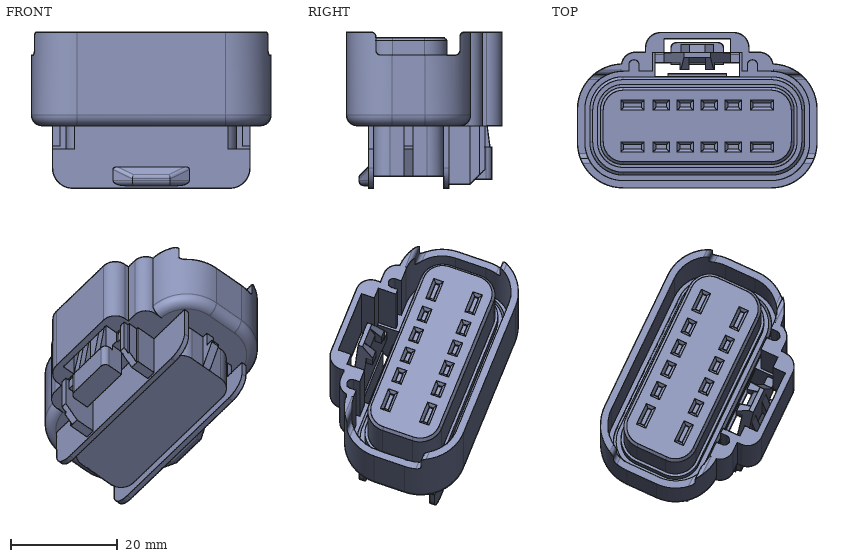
import cadquery as cq


shell_length = 44.95
shell_depth = 23.3
shell_height = 17.58
shell_corner = 8.6
shell_bottom_round = 2.02
wall = 1.4
floor = 2.02

notch_front = -6.1
notch_back = 9.6
notch_bottom = 13.25
notch_round = 0.9

housing_half_width = 9.7
housing_back = 17.55
housing_round = 2.88
ear_half_width = 14.25
ear_back = 13.85
ear_round = 2.7
key_slot_width = 1.9
key_slot_back = 12.4
slot_round_share = 0.99
key_slot_places = [-11.85, 10.35]

pocket_half_width = 8.35
pocket_back = 13.75
deep_pocket_half_width = 6.2
deep_pocket_back = 16.3
floor_opening_half_width = 7.9
floor_opening_front = 9.25
floor_lip_half_width = 5.5
floor_lip_back = 9.8
floor_lip_height = 0.9

plug_length = 36.3
plug_depth = 14.47
plug_corner = 4.25
plug_top = 16.55
plug_chamfer = 0.55
collar_margin = 0.55
collar_top = 6.3
seal_margin = 2.0
seal_top = 4.05
seal_chamfer = 0.55

row_offset = 3.9
narrow_places = [-6.75, -2.25, 2.25, 6.75]
wide_places = [-12.15, 12.15]
narrow_mouth = 3.0
wide_mouth = 4.35
mouth_height = 1.9
lead_in = 0.55
terminal_depth = 1.0

core_half_width = 15.95
core_round = 3.05
core_bottom = -9.5
plate_half_width = 18.5
plate_outer_face = 7.55
plate_thickness = 1.0
core_depth = 2 * (plate_outer_face - plate_thickness)
plate_bottom = -11.75
plate_round = 3.8
plate_notch_start = 14.4
plate_notch_bottom = -4.3

catch_width = 1.6
catch_rib_face = 17.1
catch_shelf = -3.78
catch_tip = -4.3

front_catch_half_width = 7.15
front_catch_nose_half_width = 3.55
front_catch_reach = 1.75
front_catch_top = -7.7
front_catch_bottom = -11.25
front_catch_round = 1.0

wing_bottom = -10.95
wing_back = 14.3
wing_chamfer = 2.8
wing_steps = [(11.55, 1.8), (13.3, 1.45), (wing_back, 1.1)]

lever_front = 11.8
lever_back = 13.75
lever_top = 14.05
lever_tip_half_width = 2.45
lever_tip_front = 12.85
lever_tip_slope_height = 2.25
lever_tail_half_width = 4.95
lever_tail_front = 11.5
lever_tail_bottom = -10.02
hinge_height = 2.7
hinge_back = 13.5
hook_front = 10.55
hook_height = 4.95
hook_inner = 1.55
hook_outer = 3.25
press_pad_back = 15.65
press_pad_top = -4.0
press_pad_round = 1.1
rib_inner = 1.45
rib_outer = 3.05
rib_base_back = 15.3
rib_top = 7.65
ramp_top = -1.35

overlap = 0.45


def box(x0, x1, y0, y1, z0, z1):
    return cq.Workplane("XY").box(x1 - x0, y1 - y0, z1 - z0, centered=False).translate((x0, y0, z0))


def centred_box(half_width, y0, y1, z0, z1):
    return box(-half_width, half_width, y0, y1, z0, z1)


def rounded_block(length, depth, corner, z0, z1):
    block = cq.Workplane("XY").workplane(offset=z0).rect(length, depth).extrude(z1 - z0)
    return block.edges("|Z").fillet(corner)


def profile_along_x(points, x0, x1):
    """Extrude a closed outline of (Y, Z) points from x0 to x1."""
    return cq.Workplane("YZ").workplane(offset=x0).polyline(points).close().extrude(x1 - x0)


def profile_along_y(points, y0, y1):
    """Extrude a closed outline of (X, Z) points from y0 to y1."""
    return cq.Workplane("XZ").workplane(offset=-y0).polyline(points).close().extrude(y0 - y1)


def both_sides(body):
    return body.union(body.mirror("YZ"))


def make_shell():
    shell = rounded_block(shell_length, shell_depth, shell_corner, 0, shell_height)
    shell = shell.faces("<Z").edges().fillet(shell_bottom_round)
    ears = centred_box(ear_half_width, 0, ear_back, 0, shell_height)
    ears = ears.edges("|Z and >Y").fillet(ear_round)
    housing = centred_box(housing_half_width, 0, housing_back, 0, shell_height)
    housing = housing.edges("|Z and >Y").fillet(housing_round)
    shell = shell.union(ears).union(housing)

    cavity = rounded_block(
        shell_length - 2 * wall, shell_depth - 2 * wall, shell_corner - wall, floor, shell_height
    )
    shell = shell.cut(cavity)
    shell = shell.cut(centred_box(pocket_half_width, 0, pocket_back, floor, shell_height))
    shell = shell.cut(centred_box(deep_pocket_half_width, pocket_back, deep_pocket_back, 0, shell_height))
    shell = shell.cut(
        centred_box(floor_opening_half_width, floor_opening_front, pocket_back, 0, floor)
    )
    lip = centred_box(
        floor_lip_half_width, floor_opening_front - overlap, floor_lip_back, 0, floor_lip_height
    )
    return shell.union(lip)


def cut_key_slots(shell):
    slot_radius = key_slot_width / 2
    for place in key_slot_places:
        slot = box(place - slot_radius, place + slot_radius, 0, key_slot_back, floor, shell_height)
        shell = shell.cut(slot.edges("|Z and >Y").fillet(slot_radius * slot_round_share))
    return shell


def cut_side_notches(shell):
    r = notch_round
    arc_mid = r * (1 - 0.5 ** 0.5)
    top = shell_height
    profile = (
        cq.Workplane("YZ")
        .workplane(offset=ear_half_width)
        .moveTo(notch_front - r, top)
        .threePointArc((notch_front - arc_mid, top - arc_mid), (notch_front, top - r))
        .lineTo(notch_front, notch_bottom + r)
        .threePointArc((notch_front + arc_mid, notch_bottom + arc_mid), (notch_front + r, notch_bottom))
        .lineTo(notch_back - r, notch_bottom)
        .threePointArc((notch_back - arc_mid, notch_bottom + arc_mid), (notch_back, notch_bottom + r))
        .lineTo(notch_back, top - r)
        .threePointArc((notch_back + arc_mid, top - arc_mid), (notch_back + r, top))
        .close()
    )
    notch = profile.extrude(shell_length / 2)
    return shell.cut(both_sides(notch))


def make_plug():
    base = floor - overlap
    plug = rounded_block(plug_length, plug_depth, plug_corner, base, plug_top)
    plug = plug.faces(">Z").edges().chamfer(plug_chamfer)
    collar = rounded_block(
        plug_length + 2 * collar_margin, plug_depth + 2 * collar_margin,
        plug_corner + collar_margin, base, collar_top,
    )
    seal = rounded_block(
        plug_length + 2 * seal_margin, plug_depth + 2 * seal_margin,
        plug_corner + seal_margin, base, seal_top,
    )
    seal = seal.faces(">Z").edges().chamfer(seal_chamfer)
    return plug.union(collar).union(seal)


def terminal_opening(mouth_width):
    """Blind rectangular hole with a 45 degree lead-in at its mouth."""
    mouth = cq.Workplane("XY").rect(mouth_width, mouth_height).extrude(-lead_in, taper=45)
    hole = (
        cq.Workplane("XY")
        .rect(mouth_width - 2 * lead_in, mouth_height - 2 * lead_in)
        .extrude(-terminal_depth)
    )
    return mouth.union(hole)


def cut_terminals(body):
    for places, width in ((narrow_places, narrow_mouth), (wide_places, wide_mouth)):
        for x in places:
            for y in (-row_offset, row_offset):
                body = body.cut(terminal_opening(width).translate((x, y, plug_top)))
    return body


def make_plate():
    """Front plate at full height, with both lower corners rounded."""
    plate = centred_box(
        plate_half_width, -plate_outer_face, plate_thickness - plate_outer_face, plate_bottom, overlap
    )
    return plate.edges("|Y and <Z").fillet(plate_round)


def make_core():
    core = rounded_block(2 * core_half_width, core_depth, core_round, core_bottom, overlap)
    plate = make_plate()
    rear_plate = plate.mirror("XZ")
    corner_notch = box(
        plate_notch_start, plate_half_width, -plate_outer_face, plate_thickness - plate_outer_face,
        plate_notch_bottom, 0,
    )
    front_plate = plate.cut(both_sides(corner_notch))
    root = core_half_width - overlap
    side_catch = profile_along_y(
        [
            (root, overlap),
            (catch_rib_face, overlap),
            (catch_rib_face, catch_shelf),
            (plate_half_width, catch_shelf),
            (plate_half_width, catch_tip),
            (core_half_width, core_bottom),
            (root, core_bottom),
        ],
        -catch_width / 2,
        catch_width / 2,
    )
    return core.union(front_plate).union(rear_plate).union(both_sides(side_catch))


def make_front_catch():
    face = -plate_outer_face
    nose = face - front_catch_reach
    profile = profile_along_x(
        [
            (face + overlap, front_catch_top),
            (face, front_catch_top),
            (nose, front_catch_top - front_catch_reach),
            (nose, front_catch_bottom),
            (face + overlap, front_catch_bottom),
        ],
        -front_catch_half_width,
        front_catch_half_width,
    )
    plan_outline = [
        (-front_catch_half_width, face + overlap),
        (-front_catch_half_width, face),
        (-front_catch_nose_half_width, nose),
        (front_catch_nose_half_width, nose),
        (front_catch_half_width, face),
        (front_catch_half_width, face + overlap),
    ]
    plan = (
        cq.Workplane("XY")
        .workplane(offset=front_catch_bottom)
        .polyline(plan_outline)
        .close()
        .extrude(front_catch_top - front_catch_bottom)
    )
    catch = profile.intersect(plan)
    rim_reach = front_catch_half_width + overlap
    outside_plate = cq.selectors.BoxSelector(
        (-rim_reach, nose - overlap, front_catch_bottom - overlap),
        (rim_reach, face, front_catch_top + overlap),
    )
    catch = catch.faces("<Z").edges(outside_plate).fillet(front_catch_round)
    slope_normal = cq.Vector(0, -1, 1)
    sloped_face = catch.faces(cq.DirectionMinMaxSelector(slope_normal))
    return sloped_face.edges(outside_plate).fillet(front_catch_round)


def make_wings():
    front = plate_outer_face - overlap
    outline = [
        (front, overlap),
        (wing_back, overlap),
        (wing_back, wing_bottom + wing_chamfer),
        (wing_back - wing_chamfer, wing_bottom),
        (front, wing_bottom),
    ]
    inner_face = floor_opening_half_width
    wing = None
    for step_back, thickness in wing_steps:
        full_step = profile_along_x(outline, inner_face, inner_face + thickness)
        step = full_step.intersect(
            box(inner_face, inner_face + thickness, front, step_back, wing_bottom, overlap)
        )
        wing = step if wing is None else wing.union(step)
    return both_sides(wing)


def lever_arm_block(front):
    """Arm that widens from its tip down to the hinge, from the given front face to the lever back."""
    return profile_along_y(
        [
            (-lever_tip_half_width, lever_top),
            (lever_tip_half_width, lever_top),
            (deep_pocket_half_width, 0),
            (deep_pocket_half_width, -hinge_height),
            (-deep_pocket_half_width, -hinge_height),
            (-deep_pocket_half_width, 0),
        ],
        front,
        lever_back,
    )


def make_hooks():
    hook_bottom = lever_top - hook_height
    hook = profile_along_x(
        [
            (lever_tip_front, lever_top),
            (hook_front, lever_top - (lever_tip_front - hook_front)),
            (hook_front, hook_bottom),
            (lever_tip_front, hook_bottom),
        ],
        hook_inner,
        hook_outer,
    )
    return both_sides(hook).intersect(lever_arm_block(hook_front))


def make_back_ribs():
    """Two tall wedges on the arm's back with a low ramp between them."""
    root = lever_back - overlap

    def wedge(top, x0, x1):
        return profile_along_x(
            [
                (root, press_pad_top - overlap),
                (rib_base_back, press_pad_top - overlap),
                (rib_base_back, press_pad_top),
                (lever_back, top),
                (root, top),
            ],
            x0,
            x1,
        )

    return both_sides(wedge(rib_top, rib_inner, rib_outer)).union(wedge(ramp_top, -rib_inner, rib_inner))


def make_lever():
    """Rocking latch hung between the wings: tapered arm, hooks at its tip, press pad at its tail."""
    tip_slope = profile_along_x(
        [
            (lever_front, lever_top),
            (lever_tip_front, lever_top),
            (lever_front, lever_top - lever_tip_slope_height),
        ],
        -hook_outer,
        hook_outer,
    )
    arm = lever_arm_block(lever_front).cut(tip_slope)
    hinge = centred_box(
        floor_opening_half_width + overlap, lever_front, hinge_back, -hinge_height, 0
    )
    tail = centred_box(
        lever_tail_half_width, lever_tail_front, lever_back, lever_tail_bottom, -hinge_height + overlap
    )
    pad = centred_box(
        lever_tail_half_width, lever_back - overlap, press_pad_back, lever_tail_bottom, press_pad_top
    )
    pad = pad.edges("|Z and >Y").fillet(press_pad_round)
    lever = arm.union(hinge).union(tail).union(pad)
    return lever.union(make_hooks()).union(make_back_ribs())


shell = cut_side_notches(cut_key_slots(make_shell()))
body = cut_terminals(shell.union(make_plug()))
body = body.union(make_core()).union(make_front_catch())
result = body.union(make_wings()).union(make_lever())